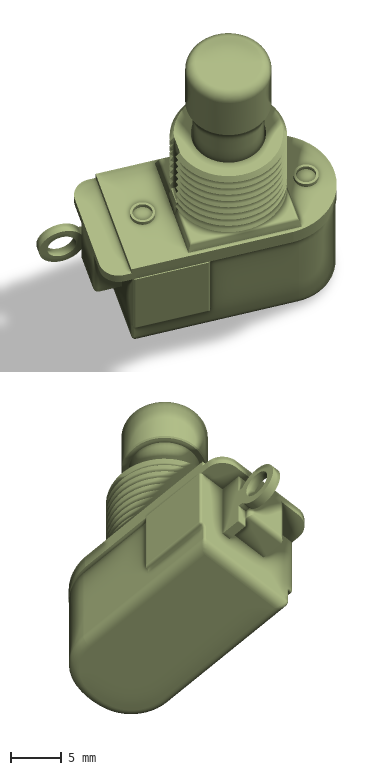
import cadquery as cq
import math

TOTAL_HEIGHT = 33.9
CASE_TOP = 10.95
BOARD_TOP = 11.95
BRACKET_TOP = 12.6
BASE_TOP = 13.6
BUSHING_TOP = 22.6
CAP_BOTTOM = 27.63

CASE_HALF_WIDTH = 5.85
CASE_FRONT = -11.73
CASE_BACK = 10.78
CASE_ARC_START = 5.6
CASE_BOTTOM_RADIUS = 1.0
CASE_FRONT_RADIUS = 0.25
CASE_BACK_RADIUS = 5.1
CASE_BACK_TURN = 75.0

PAD_HALF_WIDTH = 6.4
PAD_BACK = -3.75
PAD_BOTTOM = 3.0
PAD_RADIUS = 0.25
SELECTION_MARGIN = 0.05

BLOCK_WIDTH = 4.75
BLOCK_BOTTOM = 5.02
BLOCK_RADIUS = 0.5

TERMINAL_THICKNESS = 1.0
TERMINAL_RIGHT = -BLOCK_WIDTH / 2
TERMINAL_FRONT = -14.05
TERMINAL_BOTTOM = 3.8
TERMINAL_CORNER_RADIUS = 0.15
NECK_HEIGHT = 2.45
RING_DIAMETER = 4.7
RING_HOLE_DIAMETER = 3.0
RING_Y = -16.6
RING_Z = 7.4

PLATE_HALF_WIDTH = 6.3
PLATE_BACK = 11.0
PLATE_ARC_START = 4.9

BOARD_FRONT = -14.68
BOARD_CORNER_RADIUS = 2.0

BRACKET_FRONT = -11.93

RIVET_OUTER_DIAMETER = 2.5
RIVET_INNER_DIAMETER = 2.0
RIVET_HEIGHT = 0.45
RIVET_POSITIONS = (8.07, -8.9)

BASE_SIDE = 11.8
BASE_TAPER = 18.0
BASE_EDGE_RADIUS = 0.27

THREAD_CREST_RADIUS = 5.85
THREAD_ROOT_RADIUS = 5.45
THREAD_TURNS = 9
THREAD_PITCH = (BUSHING_TOP - BASE_TOP) / THREAD_TURNS

KEYWAY_WIDTH = 2.0
KEYWAY_FLOOR = -5.32
KEY_WIDTH = 1.85
KEY_TOP = 14.58
KEY_TOP_FRONT = -5.7
KEY_SHOULDER = 13.75
KEY_FRONT = -5.9
BORE_DIAMETER = 7.5

STEM_DIAMETER = 7.2
CAP_DIAMETER = 8.6
CAP_TOP_RADIUS = 1.0
CAP_BOTTOM_CHAMFER = 0.15


def box(x_min, x_max, y_min, y_max, z_min, z_max):
    """Box between opposite corners."""
    size = (x_max - x_min, y_max - y_min, z_max - z_min)
    return cq.Workplane("XY").box(*size, centered=False).translate((x_min, y_min, z_min))


def round_back_plate(front, bottom, top):
    """Plate with a straight front and an arc across its back."""
    return (
        cq.Workplane("XY", origin=(0, 0, bottom))
        .moveTo(-PLATE_HALF_WIDTH, front)
        .lineTo(PLATE_HALF_WIDTH, front)
        .lineTo(PLATE_HALF_WIDTH, PLATE_ARC_START)
        .threePointArc((0, PLATE_BACK), (-PLATE_HALF_WIDTH, PLATE_ARC_START))
        .close()
        .extrude(top - bottom)
    )


def make_case():
    """Lower part of the housing, widened by a stepped pad on each side near the front."""
    turn = math.radians(CASE_BACK_TURN)
    corner_end_x = CASE_HALF_WIDTH - CASE_BACK_RADIUS * (1 - math.cos(turn))
    corner_end_y = CASE_ARC_START + CASE_BACK_RADIUS * math.sin(turn)
    case = (
        cq.Workplane("XY")
        .moveTo(-CASE_HALF_WIDTH, CASE_FRONT)
        .lineTo(CASE_HALF_WIDTH, CASE_FRONT)
        .lineTo(CASE_HALF_WIDTH, CASE_ARC_START)
        .tangentArcPoint((corner_end_x, corner_end_y), relative=False)
        .threePointArc((0, CASE_BACK), (-corner_end_x, corner_end_y))
        .tangentArcPoint((-CASE_HALF_WIDTH, CASE_ARC_START), relative=False)
        .close()
        .extrude(CASE_TOP)
    )
    pads = box(-PAD_HALF_WIDTH, PAD_HALF_WIDTH, CASE_FRONT, PAD_BACK, PAD_BOTTOM, CASE_TOP)
    pads = pads.faces("<X or >X").edges(">Y or <Z").fillet(PAD_RADIUS)
    case = case.union(pads)

    seam_zone = cq.selectors.BoxSelector(
        (-CASE_HALF_WIDTH - SELECTION_MARGIN, CASE_FRONT - SELECTION_MARGIN, PAD_BOTTOM - SELECTION_MARGIN),
        (CASE_HALF_WIDTH + SELECTION_MARGIN, PAD_BACK + SELECTION_MARGIN, CASE_TOP + SELECTION_MARGIN),
        boundingbox=True,
    )
    case = case.edges(seam_zone).edges("|Z or |Y").fillet(PAD_RADIUS)

    case = case.faces("<Y").edges("not(<Z or >Z)").fillet(CASE_FRONT_RADIUS)
    return case.faces("<Z").edges().fillet(CASE_BOTTOM_RADIUS)


def make_block():
    """Rounded block on the case front, flush with the front of the board above it."""
    block = box(
        -BLOCK_WIDTH / 2, BLOCK_WIDTH / 2, BOARD_FRONT, CASE_FRONT, BLOCK_BOTTOM, CASE_TOP
    )
    return block.faces("<Y").edges("|Z or <Z").fillet(BLOCK_RADIUS)


def make_terminal():
    """Flat solder lug: blade, narrower neck and a ring."""
    left = TERMINAL_RIGHT - TERMINAL_THICKNESS
    blade = box(left, TERMINAL_RIGHT, TERMINAL_FRONT, CASE_FRONT, TERMINAL_BOTTOM, CASE_TOP)
    blade = blade.faces("<Y").edges("<Z").fillet(TERMINAL_CORNER_RADIUS)
    neck = box(
        left, TERMINAL_RIGHT, RING_Y, TERMINAL_FRONT, RING_Z - NECK_HEIGHT / 2, RING_Z + NECK_HEIGHT / 2
    )
    ring_centre = cq.Workplane("YZ", origin=(left, RING_Y, RING_Z))
    ring = ring_centre.circle(RING_DIAMETER / 2).extrude(TERMINAL_THICKNESS)
    hole = ring_centre.circle(RING_HOLE_DIAMETER / 2).extrude(TERMINAL_THICKNESS)
    return blade.union(neck).union(ring).cut(hole)


def make_housing():
    return make_case().union(make_block()).union(make_terminal())


def make_board():
    """Flat board between the housing and the bracket, overhanging at the front."""
    board = round_back_plate(BOARD_FRONT, CASE_TOP, BOARD_TOP)
    return board.faces("<Y").edges("|Z").fillet(BOARD_CORNER_RADIUS)


def make_thread():
    """Bushing barrel with ring-shaped thread ridges."""
    profile = cq.Workplane("XZ").moveTo(0, BRACKET_TOP).lineTo(THREAD_ROOT_RADIUS, BRACKET_TOP)
    for turn in range(THREAD_TURNS, 0, -1):
        root = BUSHING_TOP - turn * THREAD_PITCH
        profile = profile.lineTo(THREAD_ROOT_RADIUS, root)
        profile = profile.lineTo(THREAD_CREST_RADIUS, root + THREAD_PITCH / 2)
    profile = profile.lineTo(THREAD_ROOT_RADIUS, BUSHING_TOP).lineTo(0, BUSHING_TOP)
    return profile.close().revolve(360, (0, 0), (0, 1))


def make_bushing_base():
    """Square foot of the bushing, with sloping sides and a rounded top rim."""
    base = (
        cq.Workplane("XY", origin=(0, 0, BRACKET_TOP))
        .rect(BASE_SIDE, BASE_SIDE)
        .extrude(BASE_TOP - BRACKET_TOP, taper=BASE_TAPER)
    )
    return base.faces(">Z").edges().fillet(BASE_EDGE_RADIUS)


def make_key():
    """Wedge that closes the lower end of the keyway."""
    return (
        cq.Workplane("YZ", origin=(-KEY_WIDTH / 2, 0, 0))
        .moveTo(KEYWAY_FLOOR, BRACKET_TOP)
        .lineTo(KEY_FRONT, BRACKET_TOP)
        .lineTo(KEY_FRONT, KEY_SHOULDER)
        .lineTo(KEY_TOP_FRONT, KEY_TOP)
        .lineTo(KEYWAY_FLOOR, KEY_TOP)
        .close()
        .extrude(KEY_WIDTH)
    )


def make_bracket():
    bracket = round_back_plate(BRACKET_FRONT, BOARD_TOP, BRACKET_TOP)
    bushing = make_bushing_base().union(make_thread())
    keyway = box(
        -KEYWAY_WIDTH / 2, KEYWAY_WIDTH / 2, -BASE_SIDE, KEYWAY_FLOOR, BRACKET_TOP, BUSHING_TOP
    )
    bracket = bracket.union(bushing.cut(keyway)).union(make_key())
    for y in RIVET_POSITIONS:
        rivet = (
            cq.Workplane("XY", origin=(0, y, BRACKET_TOP))
            .circle(RIVET_OUTER_DIAMETER / 2)
            .circle(RIVET_INNER_DIAMETER / 2)
            .extrude(RIVET_HEIGHT)
        )
        bracket = bracket.union(rivet)
    bore = (
        cq.Workplane("XY", origin=(0, 0, BOARD_TOP))
        .circle(BORE_DIAMETER / 2)
        .extrude(BUSHING_TOP - BOARD_TOP)
    )
    return bracket.cut(bore)


def make_plunger():
    """Push button: stem resting on the board, with a wider rounded cap."""
    stem = (
        cq.Workplane("XY", origin=(0, 0, BOARD_TOP))
        .circle(STEM_DIAMETER / 2)
        .extrude(CAP_BOTTOM - BOARD_TOP)
    )
    cap = (
        cq.Workplane("XY", origin=(0, 0, CAP_BOTTOM))
        .circle(CAP_DIAMETER / 2)
        .extrude(TOTAL_HEIGHT - CAP_BOTTOM)
    )
    cap = cap.faces(">Z").edges().fillet(CAP_TOP_RADIUS)
    cap = cap.faces("<Z").edges().chamfer(CAP_BOTTOM_CHAMFER)
    return stem.union(cap)


housing = make_housing()
board = make_board()
bracket = make_bracket()
plunger = make_plunger()

result = cq.Compound.makeCompound([housing.val(), board.val(), bracket.val(), plunger.val()])